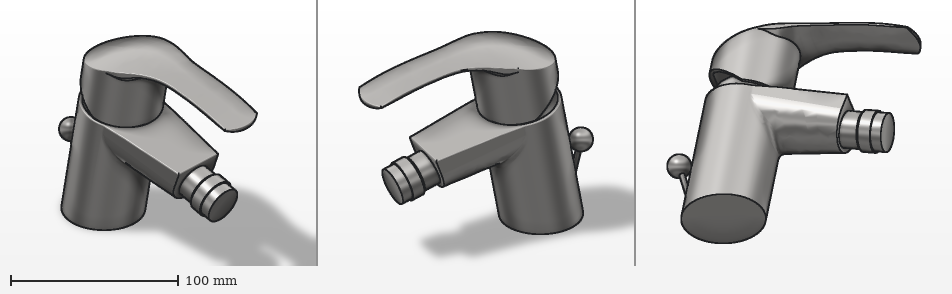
import cadquery as cq
import math

LEAN = 10.0

STOCK = 155.3
OVERLAP = 1.5

COLUMN_R = 25.0
COLUMN_TOP = 81.5
BASE_STOCK_TOP = 93.2
EDGE_ROUND = 1.0

DOME_R = 45.8 / 2
DOME_TOP = 96.0
DOME_MID = (19.9, 89.9)
STEM_R = 26.1 / 2

SPOUT_ROOT_HALF_WIDTH = 24.2
SPOUT_END_HALF_WIDTH = 16.0
SPOUT_LENGTH = 67.5
SPOUT_END_TOP = 79.4
SPOUT_UNDERSIDE = 51.9
SPOUT_SLOPE_START = 24.8
SPOUT_OVERRUN = 6.2
SPOUT_END_TILT = 9.5
SPOUT_BLEND = 4.7

OUTLET_CENTRE = (67.4, 65.2)
OUTLET_DROOP = 5.0
OUTLET_ROOT = 6.2
NECK_R = 22.5 / 2
NECK_LENGTH = 8.2
COLLAR_R = 25.5 / 2
COLLAR_END = 17.2
COLLAR_CHAMFER = 1.2
TIP_R = 23.6 / 2
TIP_END = 23.9

LEVER_R = 51.4 / 2
LEVER_BOTTOM = 83.9
RELIEF_FRONT_X = 2.8
RELIEF_BACK_HEIGHT = 100.5
CAVITY_R = 23.6
CAVITY_TOP = 97.8
CROWN_R = 93.2
CROWN_HALF_WIDTH = 28.0
HANDLE_HALF_WIDTH = 13.7
HANDLE_SHOULDER_X = 51.2
HANDLE_CORNER_X = 94.7
HANDLE_TIP_X = 99.5
LEVER_EDGE_ROUND = 0.8
FLARE_ROOT_HALF_WIDTH = 25.2
FLARE_POINTS = [(20.8, 20.7), (35.4, 15.4)]

CREST = [(-28, 106.7), (-15.5, 115.2), (-3.1, 122.2), (9.3, 127.3), (21.7, 130.9), (34.2, 133.2),
         (46.6, 134.5), (60.5, 135.0), (74.5, 134.6), (88.5, 133.1), (102.5, 130.8)]
HANDLE_STATIONS = [(-1.5, 28.0, 117.3, 104.0), (10.9, 26.1, 123.5, 111.8), (21.7, 22.7, 127.7, 118.3), (28, 20.8, 129.7, 124.5),
                   (34.2, 19.3, 131.2, 127.5), (46.6, 17.1, 133.0, 129.2), (60.5, 16.3, 133.5, 129.2),
                   (74.5, 16.3, 133.2, 128.3), (88.5, 16.3, 131.8, 127.5), (102.5, 16.3, 130.0, 129.2)]
HANDLE_STOCK_TOP = 139.8

BALL_R = 7.3
BALL_CENTRE = (-27.2, 43.5)
ROD_R = 3.4 / 2
ROD_SLOPE = 14.0
ROD_LENGTH = 29.5


def leaned(shape):
    """Tilt an upright shape forward, toward +X."""
    return shape.rotate((0, 0, 0), (0, 1, 0), LEAN)


def crown_sag(half_width):
    return CROWN_R - math.sqrt(CROWN_R**2 - half_width**2)


def loft_sections(wires):
    return cq.Workplane(obj=cq.Solid.makeLoft(wires))


def spout_section(x, half_width):
    """D-shaped section: upright sides and round underside, left tall for the top trim."""
    side_end = SPOUT_UNDERSIDE + half_width
    return (cq.Workplane("YZ", origin=(x, 0, 0))
            .moveTo(-half_width, BASE_STOCK_TOP)
            .lineTo(half_width, BASE_STOCK_TOP)
            .lineTo(half_width, side_end)
            .threePointArc((0, SPOUT_UNDERSIDE), (-half_width, side_end))
            .close().val())


def make_spout():
    spout = loft_sections([
        spout_section(0, SPOUT_ROOT_HALF_WIDTH),
        spout_section(SPOUT_LENGTH + SPOUT_OVERRUN, SPOUT_END_HALF_WIDTH),
    ])
    beyond = (cq.Workplane("XY").box(STOCK, STOCK, STOCK, centered=(False, True, True))
              .rotate((0, 0, 0), (0, 1, 0), SPOUT_END_TILT)
              .translate((SPOUT_LENGTH, 0, SPOUT_END_TOP)))
    return spout.cut(beyond)


def make_top_trim():
    """Stock above the flat column top and the gently falling spout top."""
    reach = 31
    return (cq.Workplane("XZ")
            .moveTo(-2 * reach, COLUMN_TOP)
            .lineTo(SPOUT_SLOPE_START, COLUMN_TOP)
            .lineTo(SPOUT_LENGTH + SPOUT_OVERRUN, SPOUT_END_TOP)
            .lineTo(SPOUT_LENGTH + SPOUT_OVERRUN, BASE_STOCK_TOP + 1.5)
            .lineTo(-2 * reach, BASE_STOCK_TOP + 1.5)
            .close().extrude(reach, both=True))


def make_base():
    """Column and spout, blended together and rounded along the top rim."""
    base = make_column().union(make_spout())
    junction = cq.selectors.BoxSelector((3.1, -31, 46.6), (31, 31, BASE_STOCK_TOP - 1.5))
    base = base.edges(junction).fillet(SPOUT_BLEND)
    base = base.cut(make_top_trim())
    top_edges = cq.selectors.BoxSelector((-31, -31, 78.5), (93.2, 31, BASE_STOCK_TOP))
    fold = cq.selectors.BoxSelector(
        (SPOUT_SLOPE_START - 1.5, -1.5, COLUMN_TOP - 1.5), (SPOUT_SLOPE_START + 1.5, 1.5, COLUMN_TOP + 1.5))
    return base.edges(top_edges - fold).fillet(EDGE_ROUND)


def make_outlet():
    profile = (cq.Workplane("XY")
               .moveTo(-OUTLET_ROOT, 0)
               .lineTo(-OUTLET_ROOT, NECK_R)
               .lineTo(NECK_LENGTH, NECK_R)
               .lineTo(NECK_LENGTH, COLLAR_R - COLLAR_CHAMFER)
               .lineTo(NECK_LENGTH + COLLAR_CHAMFER, COLLAR_R)
               .lineTo(COLLAR_END, COLLAR_R)
               .lineTo(COLLAR_END, TIP_R)
               .lineTo(TIP_END, TIP_R)
               .lineTo(TIP_END, 0)
               .close())
    outlet = profile.revolve(360, (0, 0, 0), (1, 0, 0))
    outlet = outlet.rotate((0, 0, 0), (0, 1, 0), OUTLET_DROOP)
    return outlet.translate((OUTLET_CENTRE[0], 0, OUTLET_CENTRE[1]))


def make_column():
    below_base = 15.5
    return (cq.Workplane("XY").workplane(offset=-below_base)
            .circle(COLUMN_R).extrude(BASE_STOCK_TOP + below_base))


def make_dome():
    return (cq.Workplane("XZ")
            .moveTo(0, COLUMN_TOP - OVERLAP)
            .lineTo(DOME_R, COLUMN_TOP - OVERLAP)
            .lineTo(DOME_R, COLUMN_TOP)
            .threePointArc(DOME_MID, (STEM_R, DOME_TOP))
            .lineTo(STEM_R, CAVITY_TOP + OVERLAP)
            .lineTo(0, CAVITY_TOP + OVERLAP)
            .close()
            .revolve(360, (0, 0, 0), (0, 1, 0)))


def crown_section(x, crest):
    """Tall section under the crowned top face."""
    side = crest - crown_sag(CROWN_HALF_WIDTH)
    return (cq.Workplane("YZ", origin=(x, 0, 0))
            .moveTo(-CROWN_HALF_WIDTH, side)
            .threePointArc((0, crest), (CROWN_HALF_WIDTH, side))
            .lineTo(CROWN_HALF_WIDTH, LEVER_BOTTOM)
            .lineTo(-CROWN_HALF_WIDTH, LEVER_BOTTOM)
            .close().val())


def handle_section(x, half_width, side, middle):
    """Section with a bulging underside, left tall for the crown to trim."""
    return (cq.Workplane("YZ", origin=(x, 0, 0))
            .moveTo(-half_width, HANDLE_STOCK_TOP)
            .lineTo(half_width, HANDLE_STOCK_TOP)
            .lineTo(half_width, side)
            .threePointArc((0, middle), (-half_width, side))
            .close().val())


def make_handle_outline():
    """Smooth flare that leaves the round hub and narrows to the straight handle."""
    shoulder = (HANDLE_SHOULDER_X, HANDLE_HALF_WIDTH)
    flare = FLARE_POINTS + [shoulder]
    flare_back = [(x, -y) for x, y in reversed(FLARE_POINTS)] + [(0, -FLARE_ROOT_HALF_WIDTH)]
    return (cq.Workplane("XY")
            .moveTo(0, FLARE_ROOT_HALF_WIDTH)
            .spline(flare, tangents=[(1, 0), (1, 0)], includeCurrent=True)
            .lineTo(HANDLE_CORNER_X, HANDLE_HALF_WIDTH)
            .threePointArc((HANDLE_TIP_X, 0), (HANDLE_CORNER_X, -HANDLE_HALF_WIDTH))
            .lineTo(HANDLE_SHOULDER_X, -HANDLE_HALF_WIDTH)
            .spline(flare_back, tangents=[(-1, 0), (-1, 0)], includeCurrent=True)
            .close().extrude(STOCK))


def make_lever():
    hub = cq.Workplane("XY").circle(LEVER_R).extrude(STOCK)
    crown = loft_sections([crown_section(*station) for station in CREST])
    handle = loft_sections([handle_section(*station) for station in HANDLE_STATIONS])
    lever = hub.union(handle.intersect(make_handle_outline())).intersect(crown)
    top_face = cq.selectors.BoxSelector((15.5, -4.7, 124.2), (38.8, 4.7, 139.8))
    lever = lever.faces(top_face).edges().fillet(LEVER_EDGE_ROUND)
    cavity = cq.Workplane("XY").circle(CAVITY_R).extrude(CAVITY_TOP)
    slope = (RELIEF_BACK_HEIGHT - LEVER_BOTTOM) / (RELIEF_FRONT_X + LEVER_R)
    reach = 46.6
    relief = (cq.Workplane("XZ")
              .moveTo(RELIEF_FRONT_X, LEVER_BOTTOM)
              .lineTo(RELIEF_FRONT_X - reach, LEVER_BOTTOM + slope * reach)
              .lineTo(RELIEF_FRONT_X - reach, LEVER_BOTTOM)
              .close().extrude(reach, both=True))
    return lever.cut(cavity).cut(relief)


def make_mixer():
    mixer = make_base().union(make_outlet()).union(make_dome()).union(make_lever())
    below_floor = cq.Workplane("XY").rect(STOCK, STOCK).extrude(-STOCK)
    return leaned(mixer).cut(below_floor)


def make_rod():
    rod = cq.Workplane("XY").circle(ROD_R).extrude(-ROD_LENGTH)
    rod = rod.union(cq.Workplane("XY").sphere(BALL_R))
    return rod.rotate((0, 0, 0), (0, 1, 0), -ROD_SLOPE).translate((BALL_CENTRE[0], 0, BALL_CENTRE[1]))


rod = make_rod()
mixer = make_mixer().cut(rod)

result = cq.Compound.makeCompound([mixer.val(), rod.val()])